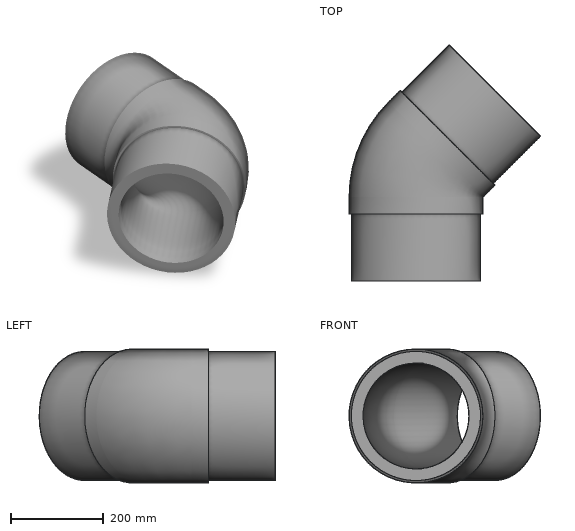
import cadquery as cq
import math

bend_angle = 45.0
body_diameter = 290.5
spigot_diameter = 280.0
bore_diameter = 229.5
pivot_clearance = 1.3
collar_length = 36.5
leg_length = 181.5

turn = math.radians(bend_angle)
entry_direction = (0, -1, 0)
exit_direction = (math.sin(turn), math.cos(turn), 0)


def bend_radius(diameter):
    """Centerline radius of a bend whose inside nearly touches the turning axis."""
    return diameter / 2 + pivot_clearance


def tangent_length(diameter):
    """Distance from the axis crossing to either end of a bend."""
    return bend_radius(diameter) * math.tan(turn / 2)


def bend(diameter):
    """Solid circular section turned through the bend angle, tangent to both legs."""
    radius = bend_radius(diameter)
    section = cq.Workplane("XZ").circle(diameter / 2)
    turned = section.revolve(bend_angle, (radius, 0), (radius, -1))
    return turned.translate((0, -tangent_length(diameter), 0))


def leg_cylinder(direction, diameter, start, end):
    """Solid cylinder on a leg axis between two distances from the axis crossing."""
    center = tuple(start * component for component in direction)
    plane = cq.Plane(origin=center, xDir=(0, 0, 1), normal=direction)
    return cq.Workplane(plane).circle(diameter / 2).extrude(end - start)


bend_end = tangent_length(body_diameter)
collar_end = bend_end + collar_length
bore_bend_end = tangent_length(bore_diameter)
leg_end = bend_end + leg_length

body = bend(body_diameter)
bore = bend(bore_diameter)
for direction in (entry_direction, exit_direction):
    body = body.union(leg_cylinder(direction, body_diameter, bend_end, collar_end))
    body = body.union(leg_cylinder(direction, spigot_diameter, collar_end, leg_end))
    bore = bore.union(leg_cylinder(direction, bore_diameter, bore_bend_end, leg_end))

result = body.cut(bore)